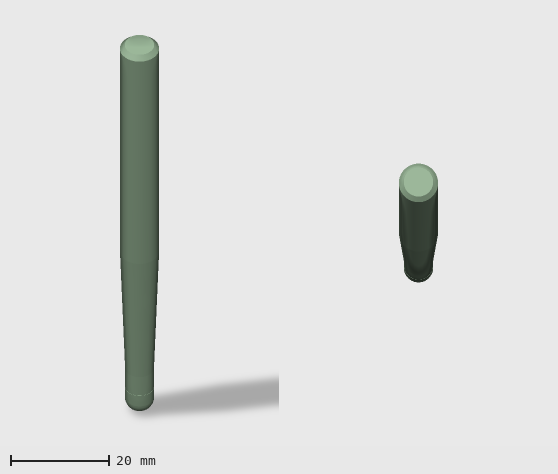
import cadquery as cq
import math

total_length = 100.0
shank_radius = 4.0
chamfer = 1.0

ball_radius = 3.0
head_length = 5.2

neck_relief = 0.05
neck_radius = ball_radius - neck_relief
neck_start = 5.9
taper_start = 11.0
taper_end = 43.2


def make_head():
    """Hemispherical tip with a short cylinder behind it."""
    arc_middle = ball_radius * math.sqrt(0.5)
    profile = (
        cq.Workplane("XZ")
        .moveTo(0, 0)
        .threePointArc((arc_middle, ball_radius - arc_middle), (ball_radius, ball_radius))
        .lineTo(ball_radius, head_length)
        .lineTo(0, head_length)
        .close()
    )
    return profile.revolve(360, (0, 0, 0), (0, 1, 0))


def make_shank():
    """Full-radius collar, relieved neck, long taper and chamfered shank."""
    profile = cq.Workplane("XZ").polyline([
        (0, head_length),
        (ball_radius, head_length),
        (ball_radius, neck_start),
        (neck_radius, neck_start),
        (neck_radius, taper_start),
        (shank_radius, taper_end),
        (shank_radius, total_length - chamfer),
        (shank_radius - chamfer, total_length),
        (0, total_length),
    ]).close()
    return profile.revolve(360, (0, 0, 0), (0, 1, 0))


head = make_head()
shank = make_shank()

result = cq.Compound.makeCompound([head.val(), shank.val()])